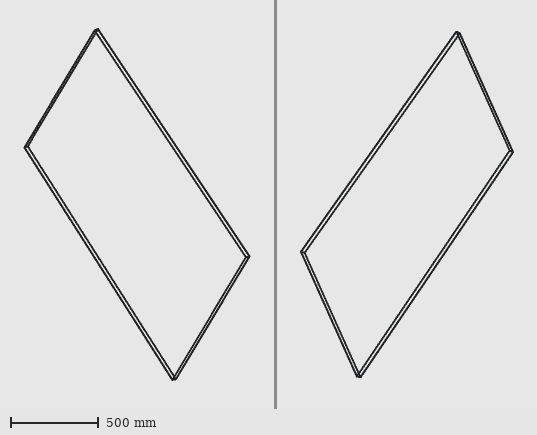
import cadquery as cq

span_x = 927.0
height = 1479.0
width_low = 1158.0
width_high = 1103.0

top_run = 20.0
top_rise = 16.0
foot_run = 22.0
foot_rise = 12.0

leaning_plate = (
    cq.Workplane("XZ")
    .polyline([
        (0, height - top_rise),
        (top_run, height),
        (span_x, foot_rise),
        (span_x - foot_run, 0),
    ])
    .close()
    .extrude(-width_low)
)

plan_prism = (
    cq.Workplane("XY")
    .polyline([(0, 0), (span_x, 0), (span_x, width_low), (0, width_high)])
    .close()
    .extrude(height)
)

result = leaning_plate.intersect(plan_prism)